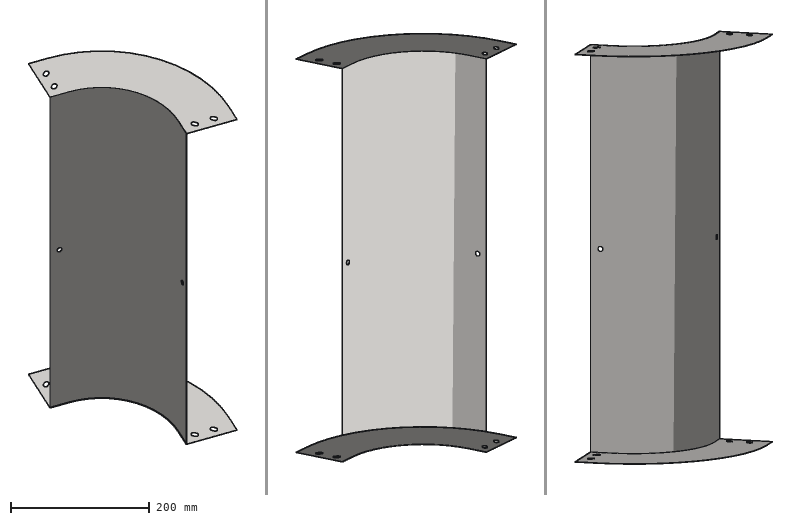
import cadquery as cq

height = 600.0
inner_radius = 120.0
straight_length = 30.0
overall_width = 230.0
sheet_thickness = 1.0
hole_diameter = 7.0
slot_length = 11.0
slot_angle = 45.0
hole_end_distance = straight_length / 2
flange_slot_insets = (30.0, 60.0)

outer_radius = overall_width - straight_length


def bent_strip(radius_outside, radius_inside, thickness):
    """Quarter bend about the Z axis with a straight stretch at both ends."""
    end = straight_length
    diagonal_outside = radius_outside / 2 ** 0.5
    diagonal_inside = radius_inside / 2 ** 0.5
    return (
        cq.Workplane("XY")
        .moveTo(-radius_outside, -end)
        .lineTo(-radius_outside, 0)
        .threePointArc((-diagonal_outside, diagonal_outside), (0, radius_outside))
        .lineTo(end, radius_outside)
        .lineTo(end, radius_inside)
        .lineTo(0, radius_inside)
        .threePointArc((-diagonal_inside, diagonal_inside), (-radius_inside, 0))
        .lineTo(-radius_inside, -end)
        .close()
        .extrude(thickness)
    )


wall = bent_strip(inner_radius + sheet_thickness, inner_radius, height)
flange = bent_strip(outer_radius, inner_radius, sheet_thickness)
top_flange = flange.translate((0, 0, height - sheet_thickness))
body = wall.union(flange).union(top_flange)

hole_line = straight_length - hole_end_distance


def flange_slot(x, y, angle):
    """Cutter for one slot through both flanges."""
    return (
        cq.Workplane("XY")
        .center(x, y)
        .slot2D(slot_length, hole_diameter, angle)
        .extrude(height)
    )


for inset in flange_slot_insets:
    slot_radius = outer_radius - inset
    body = body.cut(flange_slot(-slot_radius, -hole_line, -slot_angle))
    body = body.cut(flange_slot(hole_line, slot_radius, slot_angle))

drill_length = outer_radius
hole_along_y = cq.Solid.makeCylinder(
    hole_diameter / 2, drill_length, cq.Vector(hole_line, 0, height / 2), cq.Vector(0, 1, 0)
)
hole_along_x = cq.Solid.makeCylinder(
    hole_diameter / 2, drill_length, cq.Vector(0, -hole_line, height / 2), cq.Vector(-1, 0, 0)
)

result = body.cut(cq.Workplane(hole_along_y)).cut(cq.Workplane(hole_along_x))